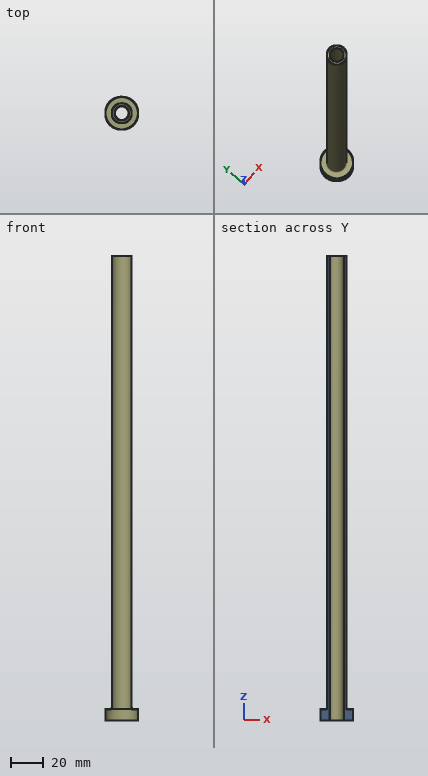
import cadquery as cq

total_length = 282.0
head_diameter = 20.0
head_height = 7.0
shank_diameter = 12.0
bore_diameter = 8.5

neck_fillet = 0.7

head = cq.Workplane("XY").circle(head_diameter / 2).extrude(head_height)

shank_length = total_length - head_height
body = head.faces(">Z").workplane().circle(shank_diameter / 2).extrude(shank_length)

neck_edge = cq.selectors.RadiusNthSelector(0)
body = body.faces("<Z[1]").edges(neck_edge).fillet(neck_fillet)

result = body.faces("<Z").workplane().circle(bore_diameter / 2).cutThruAll()